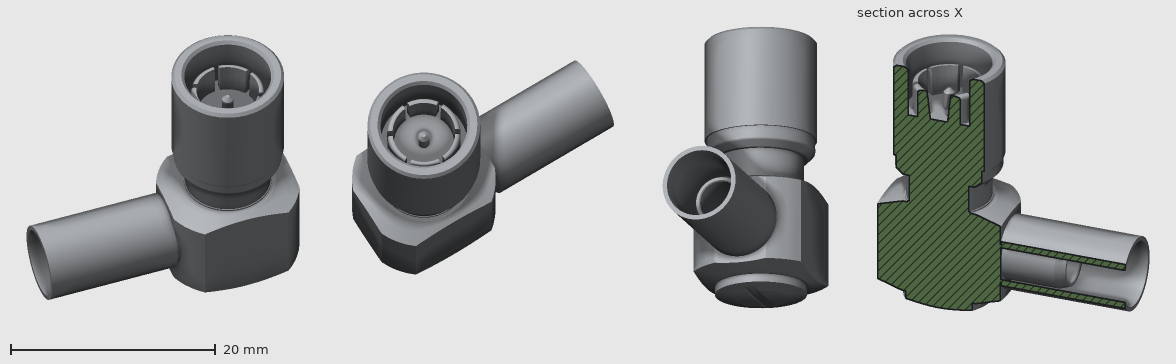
import cadquery as cq
import math


TOTAL_HEIGHT = 26.15
CABLE_REACH = 19.5

BODY_WIDTH = 11.0
BODY_LENGTH = 13.0
BODY_ROUND_RADIUS = 7.0
BODY_BOTTOM = 1.2
BODY_HEIGHT = 10.0
BODY_TOP = BODY_BOTTOM + BODY_HEIGHT
BODY_CONE_HEIGHT = 0.84
BODY_CONE_END_RADIUS = 4.7

CAP_RADIUS = 4.5
CAP_FACE_RADIUS = 2.7
CAP_CONE_HEIGHT = 0.4
CAP_SLOT_WIDTH = 1.15
CAP_SLOT_DEPTH = 0.2

NECK_RADIUS = 4.2
NECK_RIM_RADIUS = 4.31
NECK_RIM_HEIGHT = 0.15

NUT_RADIUS = BODY_WIDTH / 2
NUT_BOTTOM = 14.12
NUT_STEP_RADIUS = 5.3
NUT_STEP_TOP = 16.08
NUT_BOTTOM_CHAMFER = 0.65
NUT_EDGE_FILLET = 0.24
NUT_TOP_CHAMFER = 0.3
NUT_BORE_RADIUS = 4.24
NUT_BORE_FLOOR = 20.87

RING_TOP = 23.9
RING_OUTER_RADIUS = 3.58
RING_OUTER_ROUND = 0.37
RING_MOUTH_RADIUS = 3.05
RING_ROOT_RADIUS = 2.93
FINGER_COUNT = 6
FINGER_GAP = 0.52

PIN_RADIUS = 0.55
PIN_TIP_RADIUS = 0.18
PIN_TIP_HEIGHT = 0.37
PIN_TOP = 23.0

CABLE_AXIS_Z = BODY_BOTTOM + BODY_HEIGHT / 2
TUBE_RADIUS = 3.75
TUBE_BORE_RADIUS = 3.3
COLLAR_RADIUS = 3.5
TUBE_START = BODY_LENGTH / 2
SLEEVE_END = 13.08
SLEEVE_RADIUS = 2.77
SLEEVE_TIP_RADIUS = 2.4
SLEEVE_TAPER_LENGTH = 1.05
SLEEVE_BORE_RADIUS = 2.01
SLEEVE_BORE_CHAMFER = 0.1


def revolve_about_z(points):
    """Turn a closed (radius, height) outline once around the Z axis."""
    return cq.Workplane("XZ").polyline(points).close().revolve(360, (0, 0), (0, 1))


def cable_cylinder(radius, start, end):
    """Cylinder on the cable axis between two distances from the coupling axis."""
    plane = cq.Workplane("XZ", origin=(0, -start, CABLE_AXIS_Z))
    return plane.circle(radius).extrude(end - start)


def make_body():
    bar = revolve_about_z([
        (0, BODY_BOTTOM),
        (BODY_CONE_END_RADIUS, BODY_BOTTOM),
        (BODY_ROUND_RADIUS, BODY_BOTTOM + BODY_CONE_HEIGHT),
        (BODY_ROUND_RADIUS, BODY_TOP - BODY_CONE_HEIGHT),
        (BODY_CONE_END_RADIUS, BODY_TOP),
        (0, BODY_TOP),
    ])
    flats = cq.Workplane("XY").box(BODY_WIDTH, BODY_LENGTH, TOTAL_HEIGHT, centered=(True, True, False))
    return bar.intersect(flats)


def make_cap():
    cap = revolve_about_z([
        (0, 0),
        (CAP_FACE_RADIUS, 0),
        (CAP_RADIUS, CAP_CONE_HEIGHT),
        (CAP_RADIUS, BODY_BOTTOM),
        (0, BODY_BOTTOM),
    ])
    slot = cq.Workplane("XY").box(
        CAP_SLOT_WIDTH, 2 * CAP_RADIUS, CAP_SLOT_DEPTH, centered=(True, True, False)
    )
    return cap.cut(slot)


def make_neck():
    return revolve_about_z([
        (0, BODY_TOP),
        (NECK_RIM_RADIUS, BODY_TOP),
        (NECK_RIM_RADIUS, BODY_TOP + NECK_RIM_HEIGHT),
        (NECK_RADIUS, BODY_TOP + NECK_RIM_HEIGHT),
        (NECK_RADIUS, NUT_BOTTOM),
        (0, NUT_BOTTOM),
    ])


def make_nut():
    step = (
        cq.Workplane("XY", origin=(0, 0, NUT_BOTTOM))
        .circle(NUT_STEP_RADIUS)
        .extrude(NUT_STEP_TOP - NUT_BOTTOM)
        .faces("<Z")
        .chamfer(NUT_BOTTOM_CHAMFER)
    )
    step = step.edges(cq.selectors.NearestToPointSelector(
        (0, 0, NUT_BOTTOM + NUT_BOTTOM_CHAMFER)
    )).fillet(NUT_EDGE_FILLET)
    barrel = (
        cq.Workplane("XY", origin=(0, 0, NUT_STEP_TOP))
        .circle(NUT_RADIUS)
        .extrude(TOTAL_HEIGHT - NUT_STEP_TOP)
        .faces(">Z")
        .chamfer(NUT_TOP_CHAMFER)
    )
    bore_mouth_radius = NUT_BORE_RADIUS + NUT_TOP_CHAMFER
    bore = revolve_about_z([
        (0, NUT_BORE_FLOOR),
        (NUT_BORE_RADIUS, NUT_BORE_FLOOR),
        (NUT_BORE_RADIUS, TOTAL_HEIGHT - NUT_TOP_CHAMFER),
        (bore_mouth_radius, TOTAL_HEIGHT),
        (0, TOTAL_HEIGHT),
    ])
    return step.union(barrel).cut(bore)


def make_finger_ring():
    round_midpoint = RING_OUTER_ROUND * (1 - math.sqrt(0.5))
    ring = (
        cq.Workplane("XZ")
        .moveTo(RING_ROOT_RADIUS, NUT_BORE_FLOOR)
        .lineTo(RING_OUTER_RADIUS, NUT_BORE_FLOOR)
        .lineTo(RING_OUTER_RADIUS, RING_TOP - RING_OUTER_ROUND)
        .threePointArc(
            (RING_OUTER_RADIUS - round_midpoint, RING_TOP - round_midpoint),
            (RING_OUTER_RADIUS - RING_OUTER_ROUND, RING_TOP),
        )
        .lineTo(RING_MOUTH_RADIUS, RING_TOP)
        .close()
        .revolve(360, (0, 0), (0, 1))
    )
    gap = cq.Workplane("XY", origin=(0, 0, NUT_BORE_FLOOR)).box(
        2 * NUT_BORE_RADIUS, FINGER_GAP, RING_TOP - NUT_BORE_FLOOR, centered=(True, True, False)
    )
    for index in range(FINGER_COUNT // 2):
        ring = ring.cut(gap.rotate((0, 0, 0), (0, 0, 1), index * 360 / FINGER_COUNT))
    return ring


def make_pin():
    return revolve_about_z([
        (0, NUT_BORE_FLOOR),
        (PIN_RADIUS, NUT_BORE_FLOOR),
        (PIN_RADIUS, PIN_TOP - PIN_TIP_HEIGHT),
        (PIN_TIP_RADIUS, PIN_TOP),
        (0, PIN_TOP),
    ])


def make_cable_tube():
    tube = cable_cylinder(TUBE_RADIUS, TUBE_START, CABLE_REACH)
    return tube.cut(cable_cylinder(TUBE_BORE_RADIUS, TUBE_START, CABLE_REACH))


def make_sleeve():
    outline = [
        (SLEEVE_BORE_RADIUS, -TUBE_START),
        (SLEEVE_RADIUS, -TUBE_START),
        (SLEEVE_RADIUS, SLEEVE_TAPER_LENGTH - SLEEVE_END),
        (SLEEVE_TIP_RADIUS, -SLEEVE_END),
        (SLEEVE_BORE_RADIUS + SLEEVE_BORE_CHAMFER, -SLEEVE_END),
        (SLEEVE_BORE_RADIUS, SLEEVE_BORE_CHAMFER - SLEEVE_END),
    ]
    sleeve = cq.Workplane("XY").polyline(outline).close().revolve(360, (0, 0), (0, 1))
    return sleeve.translate((0, 0, CABLE_AXIS_Z))


result = make_body()
for piece in (
    make_cap(),
    make_neck(),
    make_nut(),
    make_finger_ring(),
    make_pin(),
    cable_cylinder(COLLAR_RADIUS, 0, TUBE_START),
    make_cable_tube(),
    make_sleeve(),
):
    result = result.union(piece)